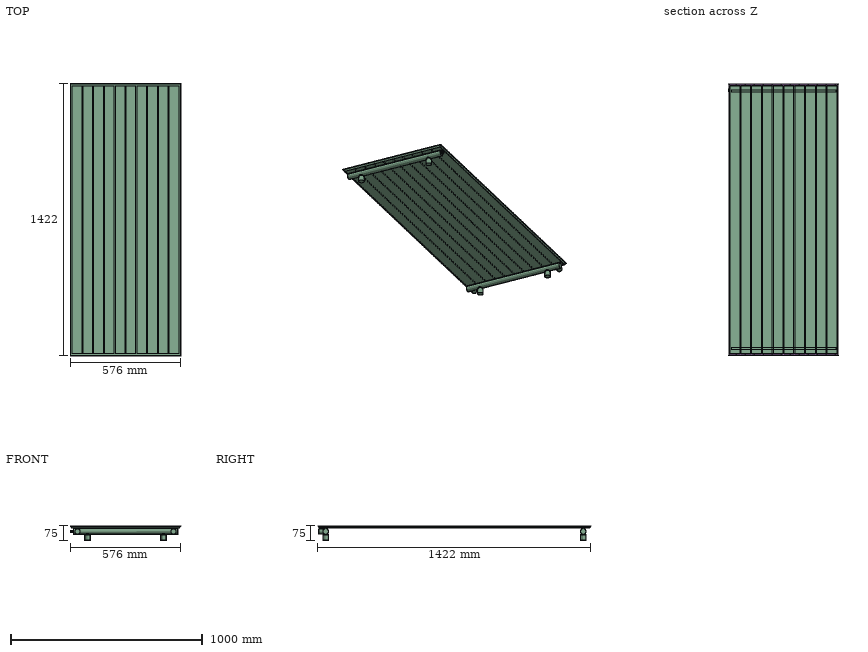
import cadquery as cq

panel_length = 1422.0
panel_width = 576.0
panel_height = 10.7
side_inset = 7.0
overall_height = 75.0

rim_width = 2.1
cover_thickness = 1.0

pocket_count = 10
pocket_side_margin = 10.0
pocket_end_margin = 13.0
pocket_depth = 4.0
rib_width = 5.0

header_diameter = 30.0
header_length = 545.0
header_offset_y = 671.0
header_depth = 28.0
web_width = 9.0

foot_diameter = 30.0
foot_height = 31.0
foot_chamfer = 3.0
foot_offset_x = 198.0
neck_diameter = 21.0

stub_diameter = 27.0
stub_offset_x = 250.0
stub_end_y = -708.0

vent_shift_y = 4.0
vent_diameter = 11.0
vent_neck_diameter = 9.0
vent_head_length = 4.0
vent_collar_length = 4.0

cover_width = panel_width - 2 * rim_width
cover_length = panel_length - 2 * rim_width
pocket_field_width = panel_width - 2 * pocket_side_margin
pocket_length = panel_length - 2 * pocket_end_margin
pocket_pitch = (pocket_field_width + rib_width) / pocket_count
pocket_width = pocket_pitch - rib_width
vent_length = (panel_width - header_length) / 2


def panel_plate():
    """Plate with its top at Z = 0 and four sides that lean inwards towards the bottom."""
    return (
        cq.Workplane("XY")
        .rect(panel_width, panel_length)
        .workplane(offset=-panel_height)
        .rect(panel_width - 2 * side_inset, panel_length - 2 * side_inset)
        .loft(ruled=True)
    )


def cover_sheet():
    """Sheet that lies flush with the top of the panel."""
    return cq.Workplane("XY").rect(cover_width, cover_length).extrude(-cover_thickness)


def pockets():
    """Long pockets side by side along X, open towards the cover."""
    return (
        cq.Workplane("XY", origin=(0, 0, -cover_thickness))
        .rarray(pocket_pitch, 14, pocket_count, 1)
        .rect(pocket_width, pocket_length)
        .extrude(-pocket_depth)
    )


def header(y):
    """Round bar along X with a thin web that joins it to the underside of the panel."""
    bar = (
        cq.Workplane("YZ", origin=(-header_length / 2, y, -header_depth))
        .circle(header_diameter / 2)
        .extrude(header_length)
    )
    web = (
        cq.Workplane("XY", origin=(0, y, -header_depth))
        .rect(header_length, web_width)
        .extrude(header_depth - panel_height)
    )
    return bar.union(web)


def foot(x, y):
    """Round foot with a chamfered top edge on a narrower neck that reaches up to the header axis."""
    base = cq.Workplane("XY", origin=(x, y, -overall_height))
    neck = base.circle(neck_diameter / 2).extrude(overall_height - header_depth)
    sleeve = base.circle(foot_diameter / 2).extrude(foot_height)
    sleeve = sleeve.faces(">Z").chamfer(foot_chamfer)
    return neck.union(sleeve)


def stub(x):
    """Round stub along Y from the axis of the -Y header to its free end."""
    return (
        cq.Workplane("XZ", origin=(x, -header_offset_y, -header_depth))
        .circle(stub_diameter / 2)
        .extrude(-header_offset_y - stub_end_y)
    )


def vent_cylinder(start, length, diameter):
    """Cylinder along X on the vent axis; start is its distance from the tip of the vent."""
    origin = (start - panel_width / 2, header_offset_y + vent_shift_y, -header_depth)
    return cq.Workplane("YZ", origin=origin).circle(diameter / 2).extrude(length)


def air_vent():
    """Head and collar joined by a thinner neck."""
    head = vent_cylinder(0, vent_head_length, vent_diameter)
    neck = vent_cylinder(0, vent_length, vent_neck_diameter)
    collar = vent_cylinder(vent_length - vent_collar_length, vent_collar_length, vent_diameter)
    return head.union(neck).union(collar)


cover = cover_sheet()

radiator = panel_plate().cut(cover).cut(pockets())
for y in (-header_offset_y, header_offset_y):
    radiator = radiator.union(header(y))
    for x in (-foot_offset_x, foot_offset_x):
        radiator = radiator.union(foot(x, y))
for x in (-stub_offset_x, stub_offset_x):
    radiator = radiator.union(stub(x))
radiator = radiator.union(air_vent())

result = cq.Compound.makeCompound([radiator.val(), cover.val()])